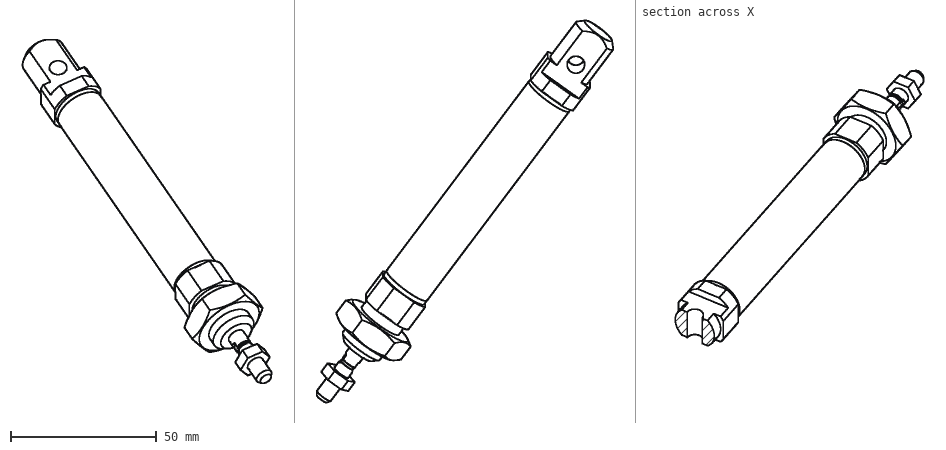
import cadquery as cq
import math

length = 161.0
eye_flat_end = 22.0
rear_cap_front = 27.0
front_cap_rear = 113.0
front_cap_shoulder = 123.0
thread_front = 139.9
mounting_nut_rear = 126.9
rod_nut_rear = 149.5

cap_diameter = 20.0
cap_width = 18.0

eye_length = 17.0
eye_diameter = 16.0
eye_thickness = 12.0
eye_chamfer = 2.1
pivot_hole_diameter = 6.0
pivot_hole_x = 13.0

tube_diameter = 17.4
tube_lip_length = 1.6
tube_lip_depth = 0.08

mounting_thread_diameter = 16.0
mounting_thread_chamfer = 2.0

rod_diameter = 6.0
rod_tip_diameter = 4.3
rod_tip_length = 1.3
rod_flat_rear = 143.3
rod_flat_front = 146.7
rod_width_across_flats = 5.0
groove_rear = 145.2
groove_width = 1.0
groove_diameter = 5.2

mounting_nut_width = 24.0
mounting_nut_thickness = 8.0
mounting_nut_face_diameter = 23.5
nut_chamfer_angle = 30.0
rod_nut_width = 10.0
rod_nut_thickness = 3.9


def cylinder(start, end, diameter):
    """A cylinder on the X axis between two stations."""
    return cq.Workplane("YZ", origin=(start, 0, 0)).circle(diameter / 2).extrude(end - start)


def revolved(profile):
    """A solid of revolution about the X axis from (x, radius) points."""
    return cq.Workplane("XY").polyline(profile).close().revolve(360, (0, 0, 0), (1, 0, 0))


def cap_block(start, end):
    """A cylinder with four flats, square to Y and Z."""
    block = cq.Workplane("YZ", origin=(start, 0, 0)).rect(cap_width, cap_width).extrude(end - start)
    return block.intersect(cylinder(start, end, cap_diameter))


def hexagon_prism(start, thickness, width):
    """A hexagonal prism with two flats facing up and down."""
    corner_diameter = width / math.cos(math.pi / 6)
    return cq.Workplane("YZ", origin=(start, 0, 0)).polygon(6, corner_diameter).extrude(thickness)


def make_rear_cap():
    eye = cylinder(0, eye_length, eye_diameter).faces("<X").chamfer(eye_chamfer)
    body = eye.union(cap_block(eye_length, rear_cap_front))
    waste_offset = (eye_thickness + cap_diameter) / 2
    for side in (1, -1):
        waste = (
            cq.Workplane("XY", origin=(eye_flat_end / 2, 0, side * waste_offset))
            .box(eye_flat_end, cap_diameter, cap_diameter)
        )
        body = body.cut(waste)
    pivot_hole = (
        cq.Workplane("XY", origin=(pivot_hole_x, 0, 0))
        .circle(pivot_hole_diameter / 2)
        .extrude(eye_thickness, both=True)
    )
    return body.cut(pivot_hole)


def make_tube():
    lip_diameter = tube_diameter - 2 * tube_lip_depth
    barrel = cylinder(rear_cap_front + tube_lip_length, front_cap_rear - tube_lip_length, tube_diameter)
    return barrel.union(cylinder(rear_cap_front, front_cap_rear, lip_diameter))


def make_front_cap():
    thread = cylinder(front_cap_shoulder, thread_front, mounting_thread_diameter)
    thread = thread.faces(">X").chamfer(mounting_thread_chamfer)
    return cap_block(front_cap_rear, front_cap_shoulder).union(thread)


def make_mounting_nut():
    nut = hexagon_prism(mounting_nut_rear, mounting_nut_thickness, mounting_nut_width)
    face_radius = mounting_nut_face_diameter / 2
    cone_radius = mounting_nut_width
    cone_depth = (cone_radius - face_radius) * math.tan(math.radians(nut_chamfer_angle))
    rear = mounting_nut_rear
    front = rear + mounting_nut_thickness
    envelope = revolved([
        (rear, 0),
        (rear, face_radius),
        (rear + cone_depth, cone_radius),
        (front - cone_depth, cone_radius),
        (front, face_radius),
        (front, 0),
    ])
    return nut.intersect(envelope).cut(cylinder(rear, front, mounting_thread_diameter))


def make_rod():
    tip_start = length - rod_tip_length
    rod = revolved([
        (thread_front, 0),
        (thread_front, rod_diameter / 2),
        (tip_start, rod_diameter / 2),
        (length, rod_tip_diameter / 2),
        (length, 0),
    ])
    flat_y = rod_width_across_flats / 2
    slope = rod_diameter / 2
    for side in (1, -1):
        flat_waste = (
            cq.Workplane("XY")
            .polyline([
                (rod_flat_rear, side * flat_y),
                (rod_flat_front, side * flat_y),
                (rod_flat_front + slope, side * (flat_y + slope)),
                (rod_flat_rear - slope, side * (flat_y + slope)),
            ])
            .close()
            .extrude(rod_diameter, both=True)
        )
        rod = rod.cut(flat_waste)
    groove_front = groove_rear + groove_width
    groove = cylinder(groove_rear, groove_front, 2 * rod_diameter)
    groove = groove.cut(cylinder(groove_rear, groove_front, groove_diameter))
    return rod.cut(groove)


def make_rod_nut():
    nut = hexagon_prism(rod_nut_rear, rod_nut_thickness, rod_nut_width)
    return nut.cut(cylinder(rod_nut_rear, rod_nut_rear + rod_nut_thickness, rod_diameter))


rear_cap = make_rear_cap()
tube = make_tube()
front_cap = make_front_cap()
mounting_nut = make_mounting_nut()
rod = make_rod()
rod_nut = make_rod_nut()

result = cq.Compound.makeCompound([
    rear_cap.val(),
    tube.val(),
    front_cap.val(),
    mounting_nut.val(),
    rod.val(),
    rod_nut.val(),
])